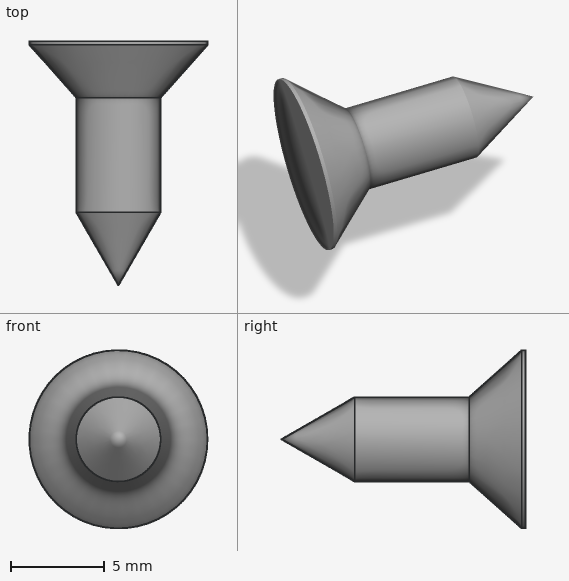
import cadquery as cq
import math

total_length = 13.0
head_diameter = 9.5
rim_thickness = 0.2
head_height = 3.0
shank_diameter = 4.5
point_angle = 60.0

head_radius = head_diameter / 2
shank_radius = shank_diameter / 2
point_length = shank_radius / math.tan(math.radians(point_angle / 2))

rim_y = -rim_thickness
neck_y = -head_height
tip_y = -total_length
point_start_y = tip_y + point_length


def make_screw():
    """Revolve the half profile of rim, countersunk head, shank and point about Y."""
    half_profile = (
        cq.Workplane("XY")
        .moveTo(0, 0)
        .lineTo(head_radius, 0)
        .lineTo(head_radius, rim_y)
        .lineTo(shank_radius, neck_y)
        .lineTo(shank_radius, point_start_y)
        .lineTo(0, tip_y)
        .close()
    )
    return half_profile.revolve(360, (0, 0, 0), (0, 1, 0))


result = make_screw()